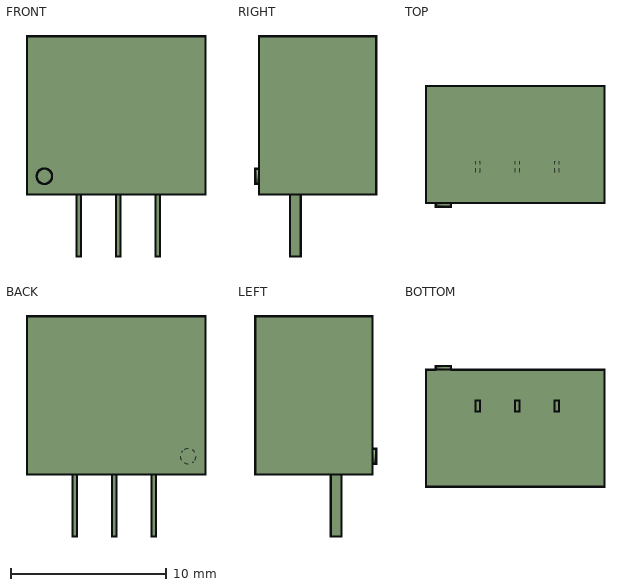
import cadquery as cq

total_height = 14.2
total_depth = 7.8

body_width = 11.5
body_depth = 7.55
body_height = 10.2

marker_diameter = 1.0
marker_height = total_depth - body_depth
marker_x = 1.12
marker_z = 1.18

pin_count = 3
pin_pitch = 2.54
pin_width = 0.3
pin_depth = 0.7
pin_length = total_height - body_height
middle_pin_x = 5.88
pin_row_y = 2.35


def make_body():
    return cq.Workplane("XY").box(body_width, body_depth, body_height, centered=False)


def make_marker():
    return (
        cq.Workplane("XZ")
        .center(marker_x, marker_z)
        .circle(marker_diameter / 2)
        .extrude(marker_height)
    )


def make_pins():
    return (
        cq.Workplane("XY")
        .center(middle_pin_x, pin_row_y)
        .rarray(pin_pitch, 0.14, pin_count, 1)
        .rect(pin_width, pin_depth)
        .extrude(-pin_length)
    )


result = make_body().union(make_marker()).union(make_pins())